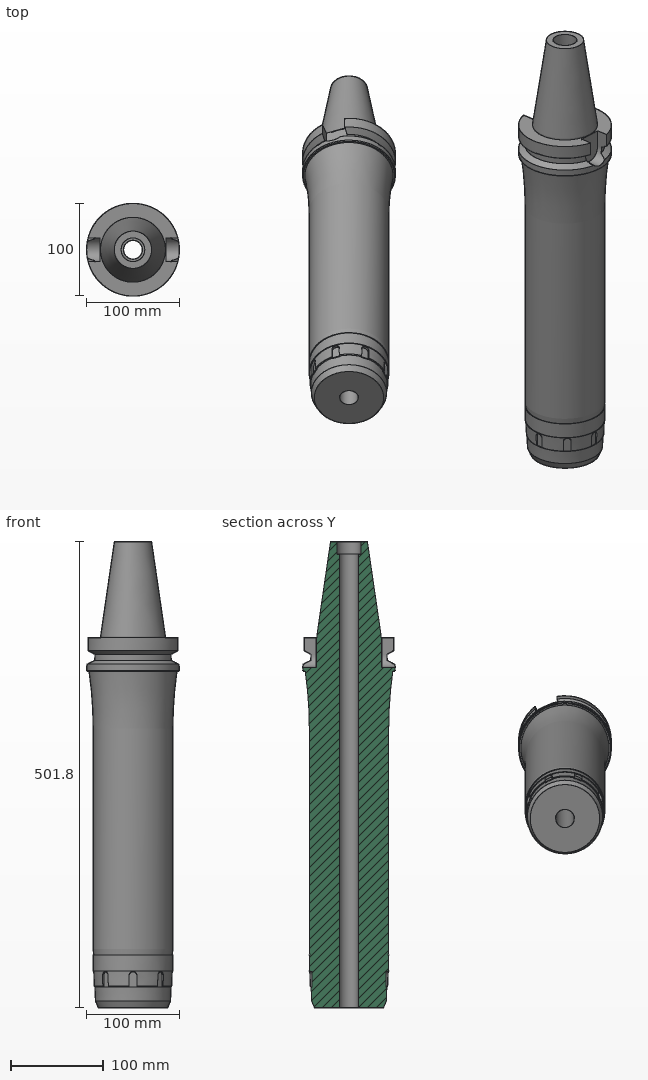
import cadquery as cq
import math

GAUGE_RADIUS = 69.85 / 2
TAPER_LENGTH = 101.8
TAPER_RATIO = 7 / 24
PROJECTION = 400.0

FLANGE_RADIUS = 50.0
FLANGE_TOP = -1.5
FLANGE_BOTTOM = -38.0
FLANGE_CHAMFER = 1.0
GROOVE_CENTER = -22.9
GROOVE_FLOOR_WIDTH = 6.4
GROOVE_RADIUS = 43.0
GROOVE_FLANK_ANGLE = 30.0

KEYWAY_WIDTH = 25.7
KEYWAY_FLOOR = 35.4
KEYWAY_BOTTOM = -33.5

SKIRT_TOP_RADIUS = 47.4
SKIRT_BOTTOM = -99.5
BODY_RADIUS = 43.0
BODY_TAPER_TOP = -337.0
BODY_END_RADIUS = 42.4

NUT_TOP = -343.0
NUT_CONE_TOP = -360.0
NUT_CONE_RADIUS = 42.4
NUT_STEP = -377.5
NUT_STEP_RADIUS = 41.9
NUT_STEP_CHAMFER = 0.9
NOSE_TOP_RADIUS = NUT_STEP_RADIUS - NUT_STEP_CHAMFER
NOSE_CHAMFER_TOP = -392.5
NOSE_CHAMFER_RADIUS = 40.5
NOSE_RADIUS = 37.3

SLOT_COUNT = 8
SLOT_WIDTH = 8.4
SLOT_TOP = -361.0
SLOT_FLOOR = 40.0

PILOT_RADIUS = 12.7
PILOT_DEPTH = 13.5
BORE_RADIUS = 10.0


def revolved_body():
    """Outer shape turned around Z, from the shank end down to the nose."""
    taper_end_radius = GAUGE_RADIUS - TAPER_LENGTH * TAPER_RATIO / 2
    groove_depth = FLANGE_RADIUS - GROOVE_RADIUS
    half_floor = GROOVE_FLOOR_WIDTH / 2
    half_mouth = half_floor + groove_depth * math.tan(math.radians(GROOVE_FLANK_ANGLE))

    skirt_height = FLANGE_BOTTOM - SKIRT_BOTTOM
    skirt_flare = SKIRT_TOP_RADIUS - BODY_RADIUS
    skirt_arc_radius = (skirt_height**2 + skirt_flare**2) / (2 * skirt_flare)
    skirt_half_angle = math.asin(skirt_height / skirt_arc_radius) / 2
    skirt_middle = (
        BODY_RADIUS + skirt_arc_radius * (1 - math.cos(skirt_half_angle)),
        SKIRT_BOTTOM + skirt_arc_radius * math.sin(skirt_half_angle),
    )

    profile = (
        cq.Workplane("XZ")
        .moveTo(0, TAPER_LENGTH)
        .lineTo(taper_end_radius, TAPER_LENGTH)
        .lineTo(GAUGE_RADIUS, 0)
        .lineTo(GAUGE_RADIUS, FLANGE_TOP)
        .lineTo(FLANGE_RADIUS, FLANGE_TOP)
        .lineTo(FLANGE_RADIUS, GROOVE_CENTER + half_mouth)
        .lineTo(GROOVE_RADIUS, GROOVE_CENTER + half_floor)
        .lineTo(GROOVE_RADIUS, GROOVE_CENTER - half_floor)
        .lineTo(FLANGE_RADIUS, GROOVE_CENTER - half_mouth)
        .lineTo(FLANGE_RADIUS, FLANGE_BOTTOM + FLANGE_CHAMFER)
        .lineTo(FLANGE_RADIUS - FLANGE_CHAMFER, FLANGE_BOTTOM)
        .lineTo(SKIRT_TOP_RADIUS, FLANGE_BOTTOM)
        .threePointArc(skirt_middle, (BODY_RADIUS, SKIRT_BOTTOM))
        .lineTo(BODY_RADIUS, BODY_TAPER_TOP)
        .lineTo(BODY_END_RADIUS, NUT_TOP)
        .lineTo(BODY_RADIUS, NUT_TOP)
        .lineTo(BODY_RADIUS, NUT_CONE_TOP)
        .lineTo(NUT_CONE_RADIUS, NUT_CONE_TOP)
        .lineTo(NUT_STEP_RADIUS, NUT_STEP + NUT_STEP_CHAMFER)
        .lineTo(NOSE_TOP_RADIUS, NUT_STEP)
        .lineTo(NOSE_CHAMFER_RADIUS, NOSE_CHAMFER_TOP)
        .lineTo(NOSE_RADIUS, -PROJECTION)
        .lineTo(0, -PROJECTION)
        .close()
    )
    return profile.revolve(360, (0, 0, 0), (0, 1, 0))


def keyway_cutter():
    """Cutter for the +X keyway: open at the flange top, with a half-round lower end."""
    half_width = KEYWAY_WIDTH / 2
    round_center = KEYWAY_BOTTOM + half_width
    return (
        cq.Workplane("YZ", origin=(KEYWAY_FLOOR, 0, 0))
        .moveTo(-half_width, FLANGE_TOP)
        .lineTo(-half_width, round_center)
        .threePointArc((0, KEYWAY_BOTTOM), (half_width, round_center))
        .lineTo(half_width, FLANGE_TOP)
        .close()
        .extrude(FLANGE_RADIUS)
    )


def spanner_slot_cutter():
    """Cutter for the +X spanner slot: round at the top, ending at the step of the nut."""
    half_width = SLOT_WIDTH / 2
    round_center = SLOT_TOP - half_width
    return (
        cq.Workplane("YZ", origin=(SLOT_FLOOR, 0, 0))
        .moveTo(-half_width, NUT_STEP)
        .lineTo(-half_width, round_center)
        .threePointArc((0, SLOT_TOP), (half_width, round_center))
        .lineTo(half_width, NUT_STEP)
        .close()
        .extrude(BODY_RADIUS)
    )


def central_bore():
    """Through bore with the wider pilot for the pull stud at the shank end."""
    shank_end = cq.Workplane("XY", origin=(0, 0, TAPER_LENGTH))
    bore = shank_end.circle(BORE_RADIUS).extrude(-(TAPER_LENGTH + PROJECTION))
    pilot = shank_end.circle(PILOT_RADIUS).extrude(-PILOT_DEPTH)
    return bore.union(pilot)


result = revolved_body()

for side_angle in (0, 180):
    result = result.cut(keyway_cutter().rotate((0, 0, 0), (0, 0, 1), side_angle))

for slot_index in range(SLOT_COUNT):
    slot_angle = slot_index * 360 / SLOT_COUNT
    result = result.cut(spanner_slot_cutter().rotate((0, 0, 0), (0, 0, 1), slot_angle))

result = result.cut(central_bore())